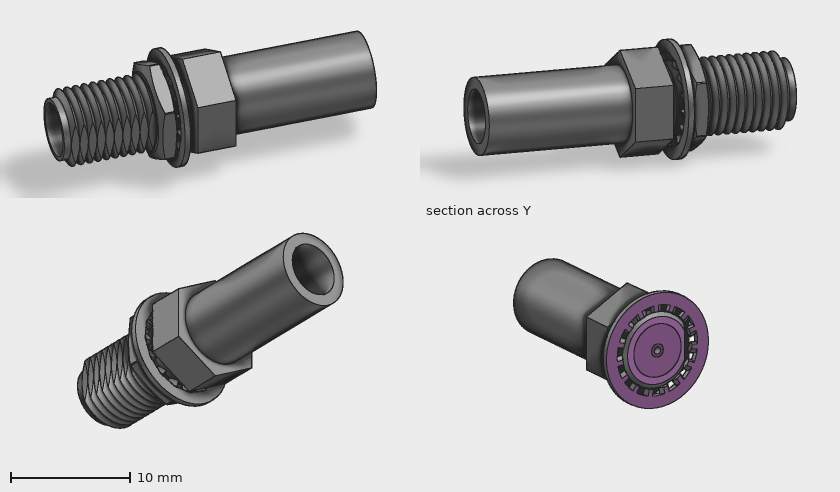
import cadquery as cq
import math


hex_half_corner = 30.0

overall_length = 27.5
hex_front = 11.4
hex_rear = 14.77
hex_across_flats = 8.05
sleeve_radius = 3.3
bore_radius = 2.3
bore_recess = 2.15

crest_count = 14
first_crest = 1.0
last_crest = 10.9
thread_pitch = (last_crest - first_crest) / (crest_count - 1)
crest_radius = 3.33
root_radius = 2.67
flat_offset = 2.7

contact_radius = 0.55
contact_bore_radius = 0.3
contact_slot_width = 0.08
contact_slot_depth = 1.1

nut_front = 8.1
nut_rear = 9.7
nut_across_flats = hex_across_flats
nut_corner_radius = 4.62
nut_chamfer_depth = 0.39
nut_bore_radius = 3.1
nut_face_radius = 3.47

washer_outer_diameter = 10.15
washer_ring_inner_radius = 3.95
washer_thickness = 0.5
washer_middle = 10.15
tooth_count = 15
tooth_inner_radius = 3.38
tooth_outer_radius = 4.05
tooth_width = 0.83
tooth_tilt = 28.0


def cylinder(radius, start, end):
    """Solid cylinder on the Y axis from start to end."""
    return cq.Workplane("XZ", origin=(0, start, 0)).circle(radius).extrude(start - end)


def hexagon(across_flats, start, end):
    """Hexagonal prism on the Y axis with corners pointing up and down."""
    corner_diameter = across_flats / math.cos(math.radians(hex_half_corner))
    prism = cq.Workplane("XZ", origin=(0, start, 0)).polygon(6, corner_diameter).extrude(start - end)
    return prism.rotate((0, 0, 0), (0, 1, 0), hex_half_corner)


def revolve_about_y(profile):
    """Revolve a closed list of (radius, y) points about the Y axis."""
    return cq.Workplane("XY").polyline(profile).close().revolve(360, (0, 0, 0), (0, 1, 0))


def make_full_thread():
    """Threaded barrel before its side flat is cut, solid through the middle."""
    profile = [(0, 0), (root_radius, 0), (root_radius, first_crest - thread_pitch / 2)]
    for index in range(crest_count):
        crest = first_crest + index * thread_pitch
        profile.append((crest_radius, crest))
        profile.append((root_radius, crest + thread_pitch / 2))
    profile += [(root_radius, hex_front), (0, hex_front)]
    return revolve_about_y(profile)


def make_housing():
    """Flatted thread, hex flange and cable sleeve with one straight bore."""
    flat_cutter = cq.Workplane("XY").box(
        crest_radius, hex_front, 2 * crest_radius, centered=(False, False, True)
    ).translate((flat_offset, 0, 0))
    body = make_full_thread().cut(flat_cutter)
    body = body.union(hexagon(hex_across_flats, hex_front, hex_rear))
    body = body.union(cylinder(sleeve_radius, hex_rear, overall_length))
    return body.cut(cylinder(bore_radius, 0, overall_length))


def make_dielectric():
    """Insulator filling the bore from the recess floor to the rear of the hex."""
    plug = cylinder(bore_radius, bore_recess, hex_rear)
    return plug.cut(cylinder(contact_radius, bore_recess, hex_rear))


def make_contact():
    """Tubular contact, flush with the insulator, with its front end split in two."""
    tube = cylinder(contact_radius, bore_recess, hex_rear)
    tube = tube.cut(cylinder(contact_bore_radius, bore_recess, hex_rear))
    slot = cq.Workplane("XY").box(
        contact_slot_width, contact_slot_depth, 2 * contact_radius, centered=(True, False, True)
    ).translate((0, bore_recess, 0))
    return tube.cut(slot)


def make_nut():
    """Hex nut with coned faces and a plain bore grooved to fit the thread rings."""
    chamfer_envelope = revolve_about_y([
        (0, nut_front),
        (nut_face_radius, nut_front),
        (nut_corner_radius, nut_front + nut_chamfer_depth),
        (nut_corner_radius, nut_rear - nut_chamfer_depth),
        (nut_face_radius, nut_rear),
        (0, nut_rear),
    ])
    blank = hexagon(nut_across_flats, nut_front, nut_rear).intersect(chamfer_envelope)
    return blank.cut(cylinder(nut_bore_radius, nut_front, nut_rear)).cut(make_full_thread())


def make_lock_washer():
    """Flat ring with twisted teeth pointing inwards."""
    ring_front = washer_middle - washer_thickness / 2
    ring_rear = washer_middle + washer_thickness / 2
    washer = cylinder(washer_outer_diameter / 2, ring_front, ring_rear)
    washer = washer.cut(cylinder(washer_ring_inner_radius, ring_front, ring_rear))

    tooth_limit = cylinder(tooth_outer_radius, hex_front, nut_rear)
    straight_tooth = cq.Workplane("XY").box(
        tooth_width, washer_thickness, tooth_outer_radius - tooth_inner_radius, centered=(True, True, False)
    )
    tooth = straight_tooth.rotate((0, 0, 0), (0, 0, 1), tooth_tilt)
    tooth = tooth.translate((0, washer_middle, tooth_inner_radius)).intersect(tooth_limit)
    for index in range(tooth_count):
        angle = index * 360 / tooth_count
        washer = washer.union(tooth.rotate((0, 0, 0), (0, 1, 0), angle))
    return washer


housing = make_housing()
dielectric = make_dielectric()
contact = make_contact()
nut = make_nut()
lock_washer = make_lock_washer()

result = cq.Compound.makeCompound([
    housing.solids().val(),
    dielectric.solids().val(),
    contact.solids().val(),
    nut.solids().val(),
    lock_washer.solids().val(),
])